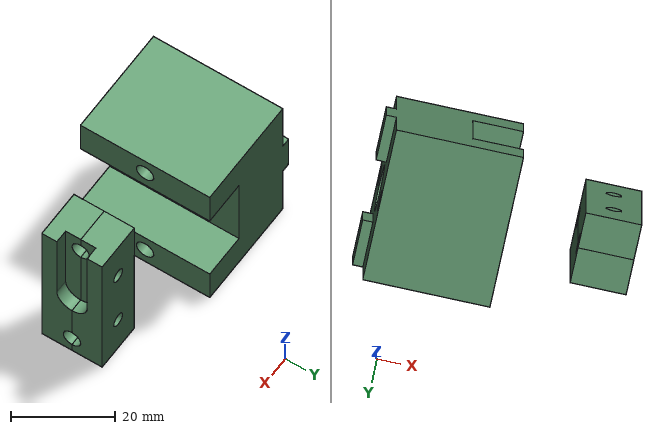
import cadquery as cq


height = 34.0
bolt_diameter = 4.0
bolt_offset = 13.0

housing_width = 30.0
housing_length = 25.0
tab_thickness = 2.0
tab_width = 9.0
tab_height = 8.5
channel_depth = 10.0
channel_height = 18.0
bore_diameter = 9.0

clamp_gap = 14.0
clamp_length = 11.0
half_width = 7.0
slot_depth = 3.0
slot_width = 7.0
cross_hole_diameter = 3.0
cross_hole_offset = 7.5

housing_start = tab_thickness
housing_end = housing_start + housing_length
clamp_start = housing_end + clamp_gap
clamp_end = clamp_start + clamp_length
clamp_middle = (clamp_start + clamp_end) / 2


def block(x_start, x_end, y_start, y_end, z_start, z_end):
    """Box between two opposite corners."""
    size = (x_end - x_start, y_end - y_start, z_end - z_start)
    return cq.Workplane("XY").box(*size, centered=False).translate((x_start, y_start, z_start))


def x_cylinder(diameter, x_start, x_end, z):
    """Cylinder along X on the Y = 0 plane."""
    profile = cq.Workplane("YZ", origin=(x_start, 0, z)).circle(diameter / 2)
    return profile.extrude(x_end - x_start)


def bolt_cutters(x_start, x_end):
    """Upper and lower bolt holes."""
    upper = x_cylinder(bolt_diameter, x_start, x_end, bolt_offset)
    lower = x_cylinder(bolt_diameter, x_start, x_end, -bolt_offset)
    return upper.union(lower)


def make_housing():
    """Block with an open channel, two locating tabs, a central bore and bolt holes."""
    side = housing_width / 2
    body = block(housing_start, housing_end, -side, side, -height / 2, height / 2)

    for tab_y in (-side, side - tab_width):
        tab = block(0, housing_start, tab_y, tab_y + tab_width, -tab_height / 2, tab_height / 2)
        body = body.union(tab)

    channel = block(
        housing_end - channel_depth, housing_end,
        -side, side,
        -channel_height / 2, channel_height / 2,
    )
    bore = x_cylinder(bore_diameter, housing_start, housing_end, 0)
    return body.cut(channel).cut(bore).cut(bolt_cutters(housing_start, housing_end))


def slot_cutter():
    """Slot open at the top, ending in a half round at mid-height."""
    slot_start = clamp_end - slot_depth
    straight = block(slot_start, clamp_end, -slot_width / 2, slot_width / 2, 0, height / 2)
    return straight.union(x_cylinder(slot_width, slot_start, clamp_end, 0))


def make_clamp_half(side):
    """Half of the clamp on the given side of Y = 0 (-1 or 1)."""
    y_start = min(0, side * half_width)
    half = block(clamp_start, clamp_end, y_start, y_start + half_width, -height / 2, height / 2)
    half = half.cut(slot_cutter()).cut(bolt_cutters(clamp_start, clamp_end))

    for z in (-cross_hole_offset, cross_hole_offset):
        hole = (
            cq.Workplane("XZ", origin=(clamp_middle, 0, z))
            .circle(cross_hole_diameter / 2)
            .extrude(half_width, both=True)
        )
        half = half.cut(hole)
    return half


housing = make_housing()
clamp_halves = [make_clamp_half(side) for side in (-1, 1)]

result = cq.Compound.makeCompound([housing.val(), *[half.val() for half in clamp_halves]])